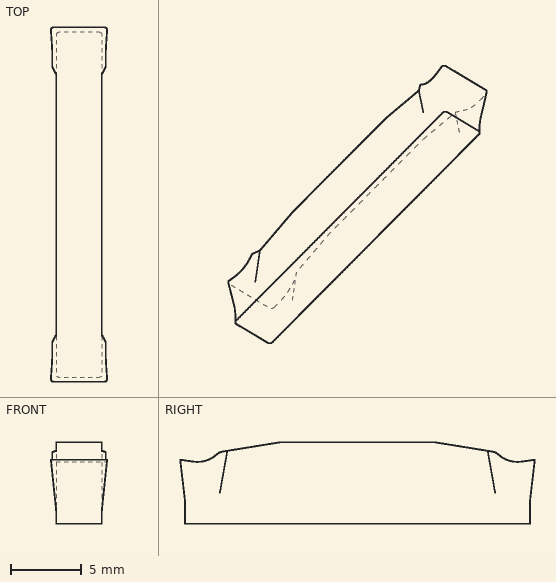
import cadquery as cq
import math

length = 25.08
height = 5.8
body_width = 3.24

crown_flat_length = 10.8
crown_slope = 9.2
groove_crest = 9.55
groove_bend = 9.93
rake_start = 11.59
groove_wall_angle = 43.0
rake_angle = 8.0
relief_start_height = 2.2
relief_foot_height = 1.65
relief_start = 12.26
base_length = 24.4

flare_rear = 9.73
flare_rear_low = 2.18
flare_rear_high = 5.12
flare_rear_half_width = 1.9
flare_front = 11.95
flare_front_low = 0.9
flare_runout = 9.2
flare_runout_height = 5.15
flare_corner_radius = 0.2
front_corner_radius = 0.23

half_length = length / 2
half_body = body_width / 2
half_base = base_length / 2
blank_half_width = 2.5
trim_size = 4 * length
tolerance = 0.003


def arc_middle(start, start_angle, end, end_angle):
    """Middle point of the arc joining two points with the given tangent slopes."""
    chord_y = end[0] - start[0]
    chord_z = end[1] - start[1]
    bulge = math.tan(math.radians(start_angle - end_angle) / 4) / 2
    return (
        (start[0] + end[0]) / 2 - bulge * chord_z,
        (start[1] + end[1]) / 2 + bulge * chord_y,
    )


def rise(run, first_angle, second_angle):
    """Height change of an arc between two tangent slopes over a given run."""
    return run * math.tan(math.radians(first_angle + second_angle) / 2)


def half_profile(half_width):
    """The -Y half of the lengthwise outline, extruded evenly about X = 0."""
    crown_edge = (-crown_flat_length / 2, height)
    crest_drop = rise(groove_crest - crown_flat_length / 2, crown_slope, crown_slope)
    crest = (-groove_crest, height - crest_drop)
    bend_drop = rise(groove_bend - groove_crest, crown_slope, groove_wall_angle)
    bend = (-groove_bend, crest[1] - bend_drop)
    rake_drop = rise(rake_start - groove_bend, groove_wall_angle, -rake_angle)
    rake = (-rake_start, bend[1] - rake_drop)
    tip = (-half_length, rake[1] + rise(half_length - rake_start, rake_angle, rake_angle))
    return (
        cq.Workplane("YZ")
        .moveTo(0, 0)
        .lineTo(0, height)
        .lineTo(*crown_edge)
        .lineTo(*crest)
        .threePointArc(arc_middle(bend, groove_wall_angle, crest, crown_slope), bend)
        .threePointArc(arc_middle(rake, -rake_angle, bend, groove_wall_angle), rake)
        .lineTo(*tip)
        .lineTo(-relief_start, relief_start_height)
        .lineTo(-half_base, relief_foot_height)
        .lineTo(-half_base, 0)
        .close()
        .extrude(half_width, both=True)
    )


def trim_outside(solid, first, second, third):
    """Remove what lies on the +X side of the plane through three points."""
    origin = cq.Vector(*first)
    normal = (cq.Vector(*second) - origin).cross(cq.Vector(*third) - origin)
    if normal.x < 0:
        normal = normal * -1
    cutter = cq.Workplane(cq.Plane(origin=first, xDir=(0, 0, 1), normal=normal.toTuple()))
    return solid.cut(cutter.rect(trim_size, trim_size).extrude(trim_size))


def flare():
    """The +X half of one head, leaning outwards up to its cutting edge."""
    rear_foot = (half_body, -flare_rear, flare_rear_low)
    rear_top = (flare_rear_half_width, -flare_rear, flare_rear_high)
    front_foot = (half_body, -flare_front, flare_front_low)
    runout = (half_body, -flare_runout, flare_runout_height)
    solid = half_profile(blank_half_width)
    solid = trim_outside(solid, rear_foot, rear_top, front_foot)
    solid = trim_outside(solid, rear_foot, rear_top, runout)
    inner_half = cq.Workplane("YZ").rect(trim_size, trim_size).extrude(-trim_size)
    solid = solid.cut(inner_half)
    edge_probe = tuple((a + b) / 2 for a, b in zip(rear_foot, rear_top))
    return solid.edges(cq.NearestToPointSelector(edge_probe)).fillet(flare_corner_radius)


def rounded_front_corners(solid):
    """Round the upright corner edges of the end face."""
    corners = [
        edge for edge in solid.edges("not #Z").edges("not |X").vals()
        if edge.BoundingBox().ymax < -half_base + tolerance
        and abs(edge.Center().x) > half_body - tolerance
    ]
    return solid.newObject(corners).fillet(front_corner_radius)


right_flare = flare()
half = half_profile(half_body).union(right_flare).union(right_flare.mirror("YZ"))
half = rounded_front_corners(half)
result = half.union(half.mirror("XZ")).clean()